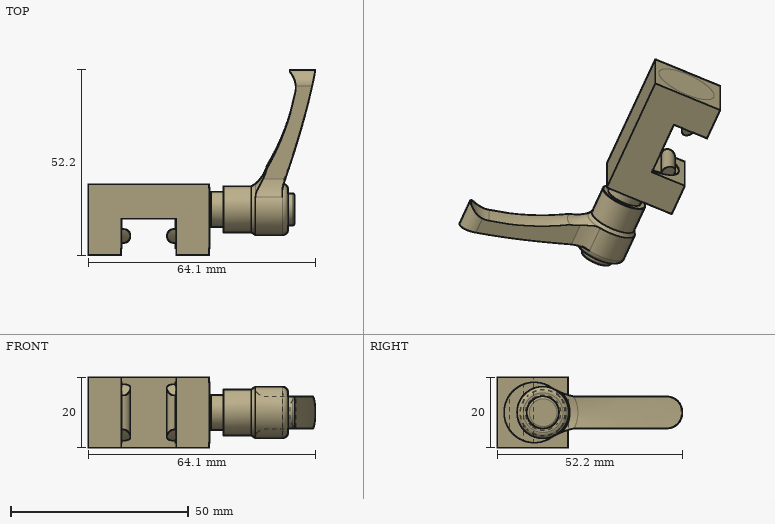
import cadquery as cq
import math

block_length = 34.1
block_width = 20.0
block_height = 20.0
slot_width = 15.5
slot_depth = 10.2
arm_thickness = (block_length - slot_width) / 2

pad_radius = 8.5
pad_center_y = 10.45
pad_proud = 0.2

ridge_radius = 2.0
ridge_reach = 2.6
ridge_center_y = 5.4

axis_y = 12.9
shaft_radius = 5.0
shaft_chamfer = 0.4
shaft_start = block_length + pad_proud
collar_radius = 6.55
collar_chamfer = 0.1
collar_start = 38.05
cone_start = 46.0
hub_radius = 7.3
hub_start = 47.15
hub_end = 56.4
hub_fillet = 1.7
button_radius = 4.55
button_end = 58.2
button_fillet = 0.65

total_length = 64.1
total_width = 52.2
arm_half_width = 4.55
arm_reach = total_width - axis_y
flare_height = 8.7
flare_foot = 3.5

front_blend_mid = (49.15, 9.5)
front_blend_end = (50.3, 12.25)
front_mid = (55.0, 21.6)
front_tip_start = (58.3, 32.95)
front_tip_mid = (58.45, 35.5)
front_tip_end = (56.8, 38.9)
back_mid = (59.45, 21.1)
back_foot = (55.6, 9.8)
back_hub_radius = 7.6


def cylinder_along_x(radius, center_y, start, end):
    return cq.Workplane("YZ", origin=(start, center_y, 0)).circle(radius).extrude(end - start)


def make_ridge(wall_x, direction):
    """Round bar along Z, partly sunk in the arm, with its ends trimmed to the edge of the pad."""
    bar_center_x = wall_x + direction * (ridge_reach - ridge_radius)
    bar = (
        cq.Workplane("XY")
        .center(bar_center_x, ridge_center_y)
        .circle(ridge_radius)
        .extrude(pad_radius, both=True)
    )
    pad_envelope = cylinder_along_x(pad_radius, pad_center_y, 0, block_length)
    return bar.intersect(pad_envelope)


def make_clamp_block():
    block = cq.Workplane("XY").box(block_length, block_width, block_height, centered=(False, False, True))
    slot = (
        cq.Workplane("XY")
        .box(slot_width, slot_depth, block_height, centered=(False, False, True))
        .translate((arm_thickness, 0, 0))
    )
    left_wall = arm_thickness
    right_wall = arm_thickness + slot_width
    left_pad = cylinder_along_x(pad_radius, pad_center_y, 0, left_wall + pad_proud)
    right_pad = cylinder_along_x(
        pad_radius, pad_center_y, right_wall - pad_proud, block_length + pad_proud
    )
    block = block.cut(slot)
    for ridge in (make_ridge(left_wall, 1), make_ridge(right_wall, -1)):
        block = block.union(ridge)
    for pad in (left_pad, right_pad):
        block = block.union(pad, clean=False)
    return block


def turned_about_hub_axis(profile):
    """Revolve a profile drawn in X and Y about the hub axis."""
    return profile.revolve(360, (0, 0, 0), (1, 0, 0))


def hub_axis_plane():
    return cq.Workplane("XY", origin=(0, axis_y, 0))


def make_hub():
    fillet_mid = hub_fillet * math.sqrt(0.5)
    button_mid = button_fillet * math.sqrt(0.5)
    profile = (
        hub_axis_plane()
        .moveTo(shaft_start, 0)
        .lineTo(shaft_start, shaft_radius - shaft_chamfer)
        .lineTo(shaft_start + shaft_chamfer, shaft_radius)
        .lineTo(collar_start, shaft_radius)
        .lineTo(collar_start, collar_radius - collar_chamfer)
        .lineTo(collar_start + collar_chamfer, collar_radius)
        .lineTo(cone_start, collar_radius)
        .lineTo(hub_start, hub_radius)
        .lineTo(hub_end - hub_fillet, hub_radius)
        .threePointArc(
            (hub_end - hub_fillet + fillet_mid, hub_radius - hub_fillet + fillet_mid),
            (hub_end, hub_radius - hub_fillet),
        )
        .lineTo(hub_end, button_radius)
        .lineTo(button_end - button_fillet, button_radius)
        .threePointArc(
            (button_end - button_fillet + button_mid, button_radius - button_fillet + button_mid),
            (button_end, button_radius - button_fillet),
        )
        .lineTo(button_end, 0)
        .close()
    )
    return turned_about_hub_axis(profile)


def make_arm_sweep():
    """Turned body that carries the front (-X) and back (+X) faces of the arm."""
    profile = (
        hub_axis_plane()
        .moveTo(cone_start, 0)
        .lineTo(cone_start, collar_radius)
        .lineTo(hub_start, hub_radius)
        .threePointArc(front_blend_mid, front_blend_end)
        .threePointArc(front_mid, front_tip_start)
        .threePointArc(front_tip_mid, front_tip_end)
        .lineTo(front_tip_end[0], arm_reach)
        .lineTo(total_length, arm_reach)
        .threePointArc(back_mid, back_foot)
        .lineTo(hub_end - hub_fillet, back_hub_radius)
        .lineTo(hub_end - hub_fillet, 0)
        .close()
    )
    return turned_about_hub_axis(profile)


def make_arm_outline():
    """Arm seen along the hub axis: round tip, parallel sides, flared foot on the hub."""
    foot_half_width = math.sqrt(hub_radius**2 - flare_foot**2)
    flare_rise = flare_height - flare_foot
    flare_spread = foot_half_width - arm_half_width
    hub_slope = math.asin(flare_foot / hub_radius)
    chord_slope = math.atan2(flare_spread, flare_rise)
    flare_chord = math.hypot(flare_rise, flare_spread)
    flare_sagitta = flare_chord / 2 * math.tan((hub_slope - chord_slope) / 2)
    tip_center = arm_reach - arm_half_width
    return (
        cq.Workplane("YZ", origin=(0, axis_y, 0))
        .moveTo(0, -foot_half_width)
        .lineTo(flare_foot, -foot_half_width)
        .sagittaArc((flare_height, -arm_half_width), flare_sagitta)
        .lineTo(tip_center, -arm_half_width)
        .threePointArc((arm_reach, 0), (tip_center, arm_half_width))
        .lineTo(flare_height, arm_half_width)
        .sagittaArc((flare_foot, foot_half_width), flare_sagitta)
        .lineTo(0, foot_half_width)
        .close()
        .extrude(total_length)
    )


def make_lever():
    arm = make_arm_sweep().intersect(make_arm_outline())
    return make_hub().union(arm)


clamp_block = make_clamp_block()
lever = make_lever()

result = cq.Compound.makeCompound([clamp_block.val(), lever.val()])